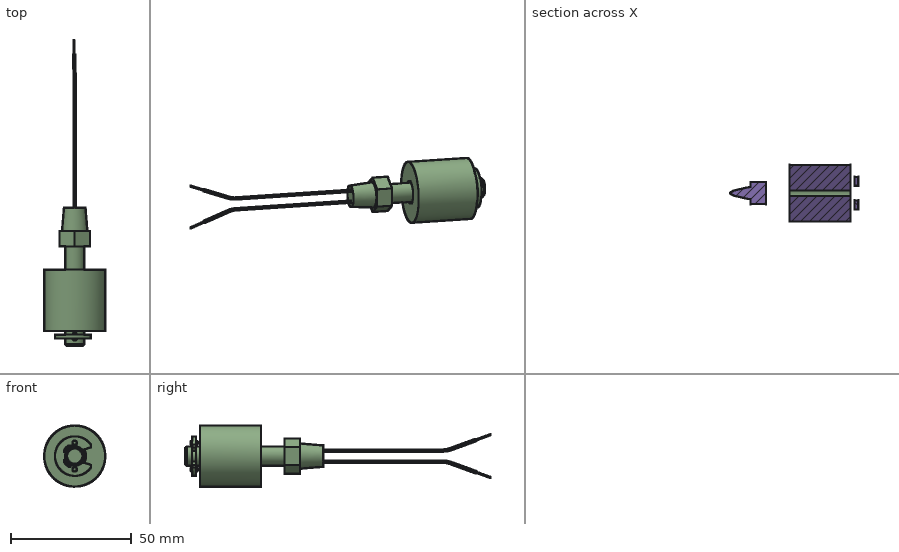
import cadquery as cq
import math


stem_radius = 4.0
stem_end_chamfer = 0.8
groove_radius = 3.2

clip_start = 3.05
clip_thickness = 1.6
clip_radius = 8.2
clip_tip_x = 6.7
jaw_tip_half_gap = 3.65
jaw_axis_half_gap = 1.4
relief_radius = 5.0
relief_half_angle = 23.0
relief_corner_radius = 0.5
relief_angles = (135.0, 225.0)
bump_offset = 5.5
bump_radius = 0.9
bump_height = 0.75

float_radius = 12.7
float_length = 25.4
float_start = 6.2
float_bore_radius = 4.7

hex_start = 41.2
hex_length = 6.5
hex_across_flats = 12.7
taper_length = 9.6
taper_base_radius = 5.3
taper_end_radius = 4.5

wire_offset = 2.3
wire_radius = 0.5
core_radius = 0.2
wire_bend_start = 106.9
wire_bend_radius = 9.0
wire_bend_angle = 20.0
wire_lean_angle = 2.7
insulated_end = 120.6
wire_socket_depth = 5.0
overall_length = 126.6

clip_end = clip_start + clip_thickness
hex_end = hex_start + hex_length
taper_end = hex_end + taper_length
socket_bottom = taper_end - wire_socket_depth


def plane_at(y):
    """Plane across the stem axis, with its normal along +Y and its local x along +X."""
    return cq.Plane(origin=(0, y, 0), xDir=(1, 0, 0), normal=(0, 1, 0))


def cylinder(radius, start, length):
    return cq.Workplane(plane_at(start)).circle(radius).extrude(length)


def polar(radius, angle):
    return (radius * math.cos(math.radians(angle)), radius * math.sin(math.radians(angle)))


def make_wire(side):
    """Lead wire with a straight run, an outward bend and a bare core; side is +1 or -1 along Z."""
    bend = math.radians(wire_bend_angle)

    def bend_point(angle):
        return (
            wire_bend_start + wire_bend_radius * math.sin(angle),
            side * (wire_offset + wire_bend_radius * (1 - math.cos(angle))),
        )

    direction = cq.Vector(0, math.cos(bend), side * math.sin(bend))
    bend_y, bend_z = bend_point(bend)
    insulated_length = (insulated_end - bend_y) / math.cos(bend)
    core_tip_y = overall_length - core_radius * math.sin(bend)
    core_length = (core_tip_y - insulated_end) / math.cos(bend)
    bend_end = cq.Vector(0, bend_y, bend_z)
    core_start = bend_end + direction * insulated_length

    path = (
        cq.Workplane("YZ")
        .moveTo(socket_bottom, side * wire_offset)
        .lineTo(wire_bend_start, side * wire_offset)
        .threePointArc(bend_point(bend / 2), (bend_y, bend_z))
        .lineTo(core_start.y, core_start.z)
    )
    profile = cq.Workplane(plane_at(socket_bottom)).center(0, -side * wire_offset).circle(wire_radius)
    insulation = profile.sweep(path)
    core = cq.Solid.makeCylinder(core_radius, core_length, core_start, direction)
    wire = insulation.union(cq.Workplane(core))
    axis_start = (0, 0, side * wire_offset)
    axis_end = (0, overall_length, side * wire_offset)
    return wire.rotate(axis_start, axis_end, -side * wire_lean_angle)


def make_stem():
    """Stem with clip groove, hexagonal head, tapered thread and two wire sockets."""
    stem = cylinder(stem_radius, 0, hex_start).faces("<Y").chamfer(stem_end_chamfer)
    groove = cylinder(stem_radius, clip_start, clip_thickness).cut(
        cylinder(groove_radius, clip_start, clip_thickness)
    )
    corner_radius = hex_across_flats / 2 / math.cos(math.pi / 6)
    head = (
        cq.Workplane(plane_at(hex_start))
        .transformed(rotate=(0, 0, 90))
        .polygon(6, 2 * corner_radius)
        .extrude(hex_length)
    )
    taper = (
        cq.Workplane(plane_at(hex_end))
        .circle(taper_base_radius)
        .workplane(offset=taper_length)
        .circle(taper_end_radius)
        .loft()
    )
    stem = stem.cut(groove).union(head).union(taper)
    for side in (1, -1):
        socket = cylinder(wire_radius, socket_bottom, wire_socket_depth)
        stem = stem.cut(socket.translate((0, 0, side * wire_offset)))
    return stem


def make_relief(angle):
    """Rounded pocket that opens the clip bore outwards around the given angle."""
    first = angle - relief_half_angle
    last = angle + relief_half_angle
    pocket = (
        cq.Workplane(plane_at(clip_start))
        .moveTo(0, 0)
        .lineTo(*polar(relief_radius, first))
        .threePointArc(polar(relief_radius, angle), polar(relief_radius, last))
        .close()
        .extrude(clip_thickness)
    )
    return pocket.edges("|Y").fillet(relief_corner_radius)


def dome_point(face, outward):
    """Point halfway along a dome arc that rises from the clip face at Y = face; outward is +1 or -1."""
    dome_radius = (bump_radius**2 + bump_height**2) / (2 * bump_height)
    half_arc = math.asin(bump_radius / dome_radius) / 2
    rise = bump_height - dome_radius * (1 - math.cos(half_arc))
    return (dome_radius * math.sin(half_arc), face + outward * rise)


def make_bump():
    """Round stud through the clip, on the stem axis, with a dome on each clip face."""
    return (
        cq.Workplane("XY")
        .moveTo(0, clip_start - bump_height)
        .threePointArc(dome_point(clip_start, -1), (bump_radius, clip_start))
        .lineTo(bump_radius, clip_end)
        .threePointArc(dome_point(clip_end, 1), (0, clip_end + bump_height))
        .close()
        .revolve(360, (0, 0), (0, 1))
    )


def make_clip():
    """E-shaped retaining clip that sits in the stem groove, with its mouth towards +X."""
    clip = cylinder(clip_radius, clip_start, clip_thickness)
    clip = clip.cut(cylinder(groove_radius, clip_start, clip_thickness))
    mouth = (
        cq.Workplane(plane_at(clip_start))
        .polyline([
            (0, jaw_axis_half_gap),
            (clip_tip_x, jaw_tip_half_gap),
            (clip_tip_x, clip_radius),
            (clip_radius, clip_radius),
            (clip_radius, -clip_radius),
            (clip_tip_x, -clip_radius),
            (clip_tip_x, -jaw_tip_half_gap),
            (0, -jaw_axis_half_gap),
        ])
        .close()
        .extrude(clip_thickness)
    )
    clip = clip.cut(mouth)
    for angle in relief_angles:
        clip = clip.cut(make_relief(angle))
    bump = make_bump()
    for side in (1, -1):
        clip = clip.union(bump.translate((0, 0, side * bump_offset)))
    return clip


def make_float():
    return cylinder(float_radius, float_start, float_length).cut(
        cylinder(float_bore_radius, float_start, float_length)
    )


stem = make_stem()
clip = make_clip()
float_body = make_float()
wires = [make_wire(side) for side in (1, -1)]

result = cq.Compound.makeCompound([
    stem.val(),
    clip.val(),
    float_body.val(),
    *[wire.val() for wire in wires],
])